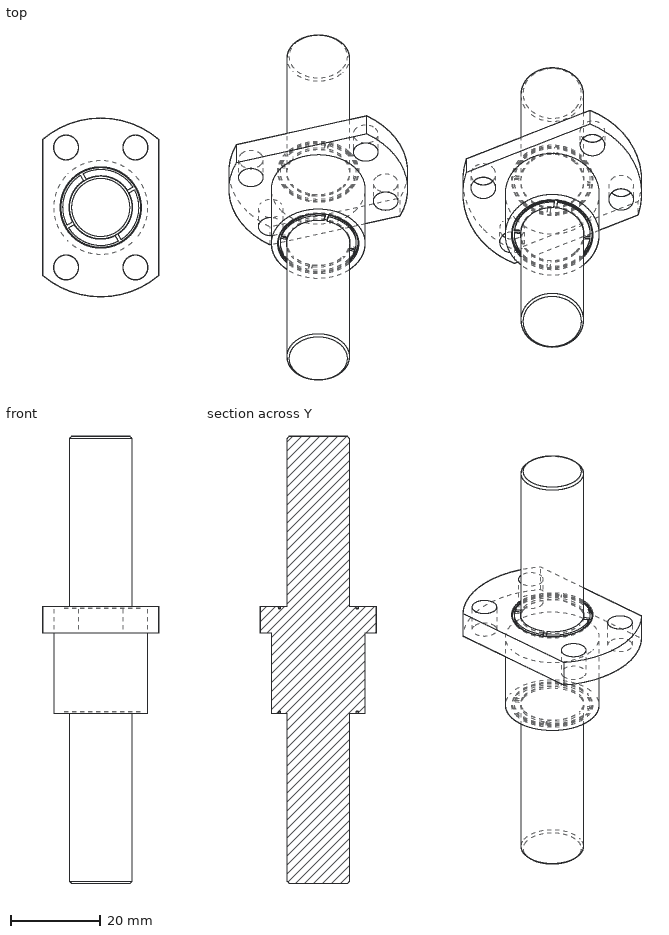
import cadquery as cq

shaft_length = 100.0
shaft_diameter = 14.0
shaft_chamfer = 0.5

flange_diameter = 40.0
flange_width = 26.0
flange_thickness = 6.0
flange_top = 12.0
body_diameter = 21.0
nut_length = 24.0
nut_bottom = flange_top - nut_length

hole_diameter = 5.5
hole_spacing_x = 15.5
hole_spacing_y = 26.8

recess_diameter = 17.8
recess_depth = 0.5
recess_chamfer = 0.2
seal_outer_diameter = 17.0
seal_inner_diameter = 14.2
seal_notch_count = 4
seal_notch_width = 0.7
seal_notch_start_angle = 30.0


def cylinder(diameter, bottom, height):
    return cq.Workplane("XY").workplane(offset=bottom).circle(diameter / 2).extrude(height)


def make_shaft():
    shaft = cylinder(shaft_diameter, -shaft_length / 2, shaft_length)
    return shaft.faces("<Z or >Z").chamfer(shaft_chamfer)


def make_flange():
    """Round flange with two flat sides and four mounting holes."""
    flange_bottom = flange_top - flange_thickness
    flats = (
        cq.Workplane("XY")
        .workplane(offset=flange_bottom)
        .rect(flange_width, flange_diameter)
        .extrude(flange_thickness)
    )
    flange = cylinder(flange_diameter, flange_bottom, flange_thickness).intersect(flats)
    return (
        flange.faces(">Z")
        .workplane(origin=(0, 0, flange_top))
        .rect(hole_spacing_x, hole_spacing_y, forConstruction=True)
        .vertices()
        .hole(hole_diameter)
    )


def make_recess():
    """Cutter for the seal recess in the top face, with a chamfered mouth."""
    recess = cylinder(recess_diameter, flange_top - recess_depth, recess_depth)
    mouth = (
        cq.Workplane("XY")
        .workplane(offset=flange_top)
        .circle(recess_diameter / 2 + recess_chamfer)
        .workplane(offset=-recess_chamfer)
        .circle(recess_diameter / 2)
        .loft(ruled=True)
    )
    return recess.union(mouth)


def make_seal():
    """Notched ring standing on the floor of the recess, just clear of the shaft."""
    floor = flange_top - recess_depth
    seal = cylinder(seal_outer_diameter, floor, recess_depth)
    seal = seal.cut(cylinder(seal_inner_diameter, floor, recess_depth))
    ring_width = (seal_outer_diameter - seal_inner_diameter) / 2
    ring_radius = (seal_outer_diameter + seal_inner_diameter) / 4
    for index in range(seal_notch_count):
        angle = seal_notch_start_angle + index * 360 / seal_notch_count
        notch = (
            cq.Workplane("XY")
            .workplane(offset=floor)
            .center(ring_radius, 0)
            .rect(2 * ring_width, seal_notch_width)
            .extrude(recess_depth)
            .rotate((0, 0, 0), (0, 0, 1), angle)
        )
        seal = seal.cut(notch)
    return seal


def mirror_to_bottom(shape):
    """Copy of a top-face feature placed on the bottom face of the nut."""
    return shape.mirror("XY", (0, 0, (flange_top + nut_bottom) / 2))


nut = make_flange().union(cylinder(body_diameter, nut_bottom, nut_length - flange_thickness))
recess = make_recess()
seal = make_seal()
nut = nut.cut(recess).cut(mirror_to_bottom(recess))
nut = nut.union(seal).union(mirror_to_bottom(seal))
result = nut.union(make_shaft())